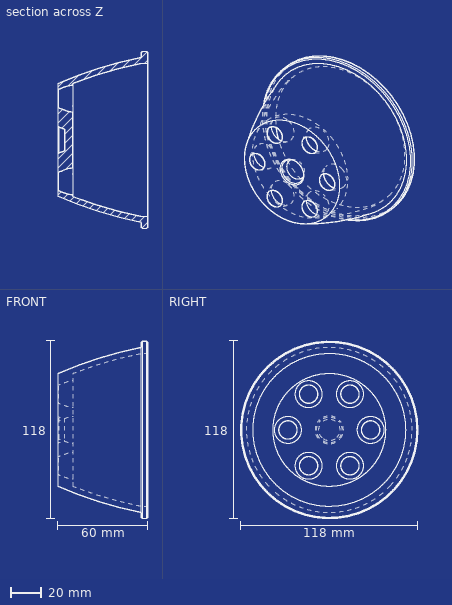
import cadquery as cq

total_length = 60.0
flange_radius = 59.0
flange_thickness = 4.5
flange_chamfer = 0.8
small_radius = 37.5
middle_radius = 47.9
large_radius = 55.0
flange_start = total_length - flange_thickness
middle_x = flange_start / 2

plate_thickness = 10.0
wall_thickness = 4.1

hole_count = 6
hole_radius = 12.0 / 2
hole_circle_radius = 27.5
lip_length = 0.41
flare_radius = 9.0
flare_bow = 0.5

socket_mouth_radius = 9.3
socket_mouth_chamfer = 0.8
socket_floor_radius = 7.1
socket_depth = 4.6


def revolve_about_x(profile):
    return profile.close().revolve(360, (0, 0, 0), (1, 0, 0))


def make_body():
    """Bulging cone ending in a flange with both outer edges chamfered."""
    flange_edge = flange_radius - flange_chamfer
    return revolve_about_x(
        cq.Workplane("XY")
        .lineTo(0, small_radius)
        .threePointArc((middle_x, middle_radius), (flange_start, large_radius))
        .lineTo(flange_start, flange_edge)
        .lineTo(flange_start + flange_chamfer, flange_radius)
        .lineTo(total_length - flange_chamfer, flange_radius)
        .lineTo(total_length, flange_edge)
        .lineTo(total_length, 0)
    )


def make_cavity():
    """Hollow open at the flange: the outer bulge moved inwards, cut off at the plate."""
    bulge = revolve_about_x(
        cq.Workplane("XY")
        .lineTo(0, small_radius - wall_thickness)
        .threePointArc(
            (middle_x, middle_radius - wall_thickness),
            (flange_start, large_radius - wall_thickness),
        )
        .lineTo(total_length, large_radius - wall_thickness)
        .lineTo(total_length, 0)
    )
    plate = cq.Workplane("YZ").circle(flange_radius).extrude(plate_thickness)
    return bulge.cut(plate)


def make_hole():
    """One flared hole through the plate, on the ring at the +Y side."""
    flare_middle_x = (lip_length + plate_thickness) / 2
    flare_middle_radius = (hole_radius + flare_radius) / 2 + flare_bow
    hole = revolve_about_x(
        cq.Workplane("XY")
        .lineTo(0, hole_radius)
        .lineTo(lip_length, hole_radius)
        .threePointArc((flare_middle_x, flare_middle_radius), (plate_thickness, flare_radius))
        .lineTo(plate_thickness, 0)
    )
    return hole.translate((0, hole_circle_radius, 0))


def make_socket():
    """Blind socket with a chamfered mouth and walls that taper to a flat floor."""
    return revolve_about_x(
        cq.Workplane("XY")
        .lineTo(0, socket_mouth_radius)
        .lineTo(socket_mouth_chamfer, socket_mouth_radius - socket_mouth_chamfer)
        .lineTo(socket_depth, socket_floor_radius)
        .lineTo(socket_depth, 0)
    )


result = make_body().cut(make_cavity()).cut(make_socket())
for index in range(hole_count):
    angle = index * 360 / hole_count
    result = result.cut(make_hole().rotate((0, 0, 0), (1, 0, 0), angle))